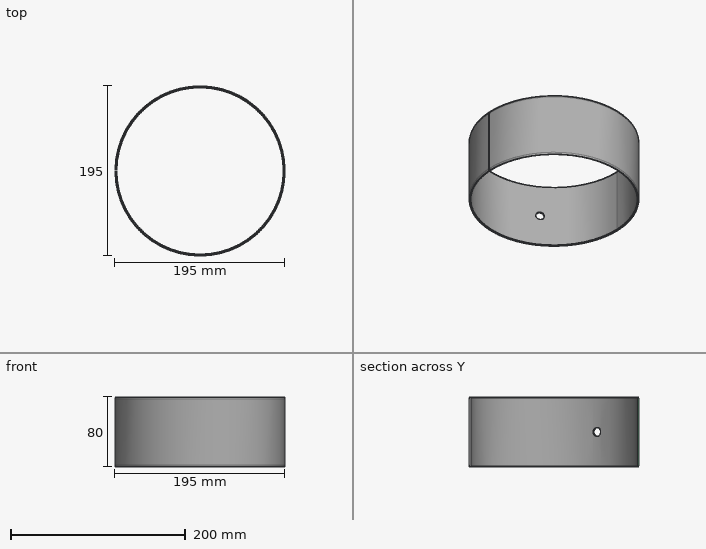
import cadquery as cq

outer_diameter = 195.0
height = 80.0
wall = 2.3
outer_radius = outer_diameter / 2
inner_radius = outer_radius - wall

bevel_width = 0.5
outer_bevel_height = 2.1
inner_bevel_height = 1.0

slit_width = 1.5

hole_diameter = 10.0
hole_angle = 59.0


def make_band():
    """Revolve the bevelled wall section about Z."""
    top = height / 2
    section = [
        (inner_radius, -top + inner_bevel_height),
        (inner_radius + bevel_width, -top),
        (outer_radius - bevel_width, -top),
        (outer_radius, -top + outer_bevel_height),
        (outer_radius, top - outer_bevel_height),
        (outer_radius - bevel_width, top),
        (inner_radius + bevel_width, top),
        (inner_radius, top - inner_bevel_height),
    ]
    return cq.Workplane("XZ").polyline(section).close().revolve(360, (0, 0), (0, 1))


def make_slit():
    """Box that crosses only the -X wall, over the full height."""
    slit = cq.Workplane("XY").box(outer_diameter, slit_width, height)
    return slit.translate((-outer_radius, slit_width / 2, 0))


def make_hole():
    """Cylinder from the axis outwards through one wall."""
    cylinder = cq.Workplane("YZ").circle(hole_diameter / 2).extrude(outer_diameter)
    return cylinder.rotate((0, 0, 0), (0, 0, 1), hole_angle)


result = make_band().cut(make_slit()).cut(make_hole())